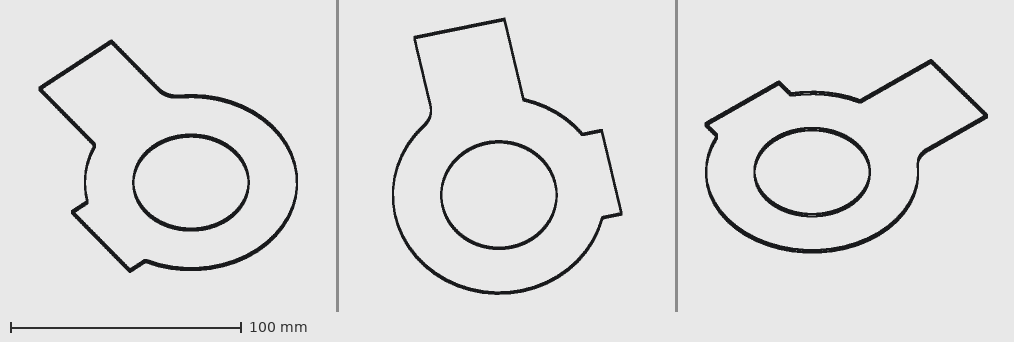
import cadquery as cq

thickness = 1.6
bore_diameter = 50.0
outer_diameter = 92.0
tab_width = 40.0
long_tab_reach = 80.0
short_tab_reach = 50.0
long_tab_root_radius = 10.0
short_tab_root_radius = 1.0

outer_radius = outer_diameter / 2
half_tab = tab_width / 2
root_distance = (outer_radius**2 - half_tab**2) ** 0.5


def disc(diameter):
    """Flat round plate centred on the Z axis, standing on Z = 0."""
    return cq.Workplane("XY").circle(diameter / 2).extrude(thickness)


def tab(length_x, length_y, centre_x, centre_y):
    """Flat rectangular plate standing on Z = 0."""
    return cq.Workplane("XY").center(centre_x, centre_y).rect(length_x, length_y).extrude(thickness)


def round_root(body, x, y, radius):
    """Round the upright inner corner at (x, y), where a tab side meets the rim."""
    corner = cq.selectors.NearestToPointSelector((x, y, thickness / 2))
    return body.edges("|Z").edges(corner).fillet(radius)


long_tab = tab(long_tab_reach, tab_width, -long_tab_reach / 2, 0)
short_tab = tab(tab_width, short_tab_reach, 0, -short_tab_reach / 2)

washer = disc(outer_diameter).union(long_tab).union(short_tab).clean()
washer = round_root(washer, -root_distance, half_tab, long_tab_root_radius)
washer = round_root(washer, half_tab, -root_distance, short_tab_root_radius)

result = washer.cut(disc(bore_diameter))